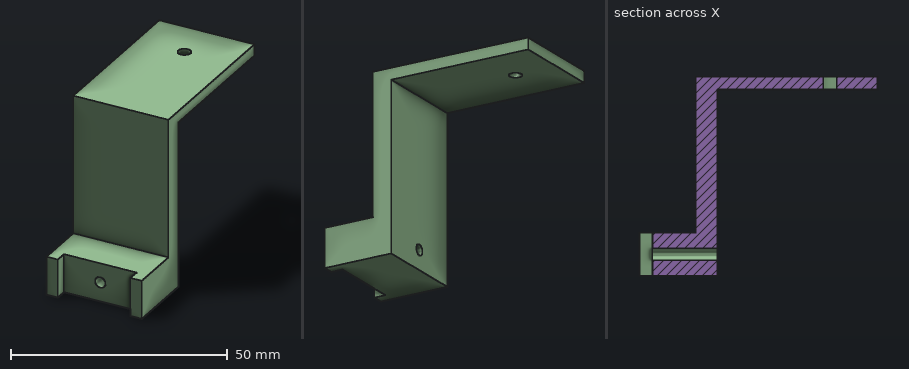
import cadquery as cq

width = 25.0
total_depth = 55.0
total_height = 46.0

shelf_thickness = 3.0
wall_thickness = 5.0
foot_length = 13.0
foot_height = 10.0

lip_width = 3.0
recess_depth = 3.0

shelf_hole_diameter = 3.1
shelf_hole_from_back = 11.0
foot_hole_diameter = 2.7
foot_hole_height = foot_height / 2

wall_front = foot_length
wall_back = wall_front + wall_thickness


def bracket_body():
    """Extrude the shelf, wall and foot as one profile, centred on X = 0."""
    outline = [
        (0, 0),
        (wall_back, 0),
        (wall_back, total_height - shelf_thickness),
        (total_depth, total_height - shelf_thickness),
        (total_depth, total_height),
        (wall_front, total_height),
        (wall_front, foot_height),
        (0, foot_height),
    ]
    return cq.Workplane("YZ").polyline(outline).close().extrude(width / 2, both=True)


def foot_recess():
    """Block that opens the front of the foot over its full height."""
    recess_width = width - 2 * lip_width
    return cq.Workplane("XY").box(
        recess_width, recess_depth, foot_height, centered=(True, False, False)
    )


def shelf_hole():
    """Vertical hole through the shelf."""
    return (
        cq.Workplane("XY", origin=(0, total_depth - shelf_hole_from_back, total_height))
        .circle(shelf_hole_diameter / 2)
        .extrude(-shelf_thickness)
    )


def foot_hole():
    """Horizontal hole along Y through the foot and the wall."""
    return (
        cq.Workplane("XZ", origin=(0, 0, foot_hole_height))
        .circle(foot_hole_diameter / 2)
        .extrude(-wall_back)
    )


result = bracket_body().cut(foot_recess()).cut(shelf_hole()).cut(foot_hole())